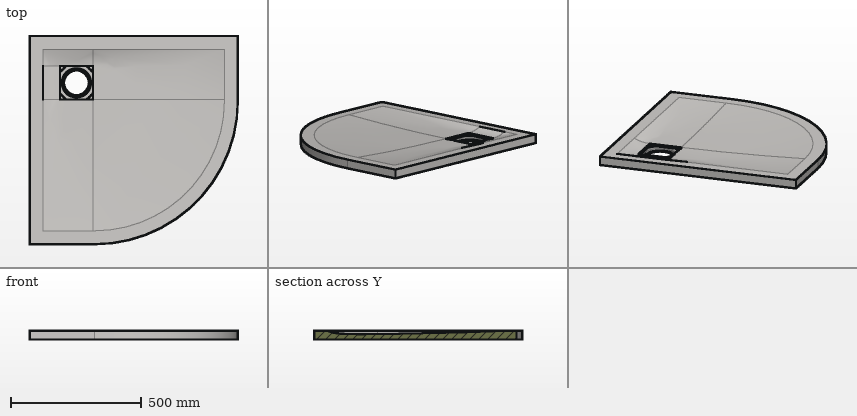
import cadquery as cq
import math

tray_side = 800.0
tray_height = 35.0
corner_radius = 550.0
rim_width = 52.0

drain_side = 128.0
drain_offset = 180.0
basin_depth = 14.0
recess_depth = 8.0
pad_leg = 24.0
pad_height = 3.0
outlet_diameter = 95.0
outlet_length = 5.0
seat_diameter = 111.0
seat_rounding = 3.0

half_side = tray_side / 2
arc_centre_x = half_side - corner_radius
arc_centre_y = -arc_centre_x

basin_half = half_side - rim_width
basin_radius = corner_radius - rim_width

drain_x = drain_offset - half_side
drain_y = -drain_x
drain_left = drain_x - drain_side / 2
drain_right = drain_x + drain_side / 2
drain_back = drain_y + drain_side / 2
drain_front = drain_y - drain_side / 2

basin_z = tray_height - basin_depth
recess_z = basin_z - recess_depth


def arc_middle(radius):
    """Plan point halfway round the front right corner."""
    reach = radius * math.sqrt(0.5)
    return arc_centre_x + reach, arc_centre_y - reach


def tray_block():
    """Square slab with its front right corner rounded to a quarter circle."""
    return (
        cq.Workplane("XY")
        .moveTo(-half_side, half_side)
        .lineTo(half_side, half_side)
        .lineTo(half_side, arc_centre_y)
        .threePointArc(arc_middle(corner_radius), (arc_centre_x, -half_side))
        .lineTo(-half_side, -half_side)
        .close()
        .extrude(tray_height)
    )


def rim_point(x, y):
    return cq.Vector(x, y, tray_height)


def drain_point(x, y):
    return cq.Vector(x, y, basin_z)


def slope(low, x, y):
    """Arc that leaves a low point level and climbs to the rim at x, y."""
    away = cq.Vector(x - low.x, y - low.y, 0)
    return cq.Edge.makeTangentArc(low, away, rim_point(x, y))


def path(*points):
    """Straight edges joining the points in turn."""
    return [cq.Edge.makeLine(start, end) for start, end in zip(points, points[1:])]


def patch(edges, guides=(), degree=3):
    """Smooth face spanning the edges and passing through the guide curves."""
    return cq.Face.makeNSidedSurface(edges, guides, degree=degree)


def flat(edges):
    return cq.Face.makeFromWires(cq.Wire.assembleEdges(edges))


def basin():
    """Space above the dished floor, closed by a flat cap level with the rim."""
    back_left = drain_point(drain_left, drain_back)
    back_right = drain_point(drain_right, drain_back)
    front_left = drain_point(drain_left, drain_front)
    front_right = drain_point(drain_right, drain_front)
    [back_side] = path(back_left, back_right)
    [right_side] = path(back_right, front_right)
    [front_side] = path(front_right, front_left)
    [left_side] = path(front_left, back_left)

    left_back_crease = slope(back_left, -basin_half, drain_back)
    left_front_crease = slope(front_left, -basin_half, drain_front)
    back_crease = slope(back_right, drain_right, basin_half)
    right_crease = slope(front_right, basin_half, drain_front)
    front_crease = slope(front_right, drain_right, -basin_half)

    rim_left_front = rim_point(-basin_half, drain_front)
    rim_left_back = rim_point(-basin_half, drain_back)
    rim_back = rim_point(drain_right, basin_half)
    rim_right = rim_point(basin_half, drain_front)
    rim_front = rim_point(drain_right, -basin_half)
    arc_start = rim_point(basin_half, arc_centre_y)
    arc_end = rim_point(arc_centre_x, -basin_half)
    left_rim = path(rim_left_front, rim_left_back)
    back_left_rim = path(rim_left_back, rim_point(-basin_half, basin_half), rim_back)
    back_right_rim = path(rim_back, rim_point(basin_half, basin_half), rim_right)
    rounded_rim = [
        *path(rim_right, arc_start),
        cq.Edge.makeThreePointArc(arc_start, rim_point(*arc_middle(basin_radius)), arc_end),
        *path(arc_end, rim_front),
    ]
    front_left_rim = path(rim_front, rim_point(-basin_half, -basin_half), rim_left_front)

    right_guide = slope(back_right, basin_half, drain_back)
    front_guide = slope(front_left, drain_left, -basin_half)

    shell = cq.Shell.makeShell(
        [
            patch([*left_rim, left_back_crease, left_side, left_front_crease]),
            patch([*back_left_rim, back_crease, back_side, left_back_crease]),
            patch([*back_right_rim, right_crease, right_side, back_crease], [right_guide]),
            patch([*front_left_rim, left_front_crease, front_side, front_crease], [front_guide]),
            patch([*rounded_rim, front_crease, right_crease], degree=2),
            flat([back_side, right_side, front_side, left_side]),
            flat([*left_rim, *back_left_rim, *back_right_rim, *rounded_rim, *front_left_rim]),
        ]
    )
    return cq.Workplane(cq.Solid.makeSolid(shell))


def drain_recess():
    """Square pocket that leaves a low triangular pad standing in each corner."""
    centre = (drain_x, drain_y, recess_z)
    pocket = cq.Workplane("XY", origin=centre).rect(drain_side, drain_side).extrude(recess_depth)
    corner = drain_side / 2
    for turn in range(4):
        pad = (
            cq.Workplane("XY")
            .moveTo(corner, corner)
            .lineTo(corner - pad_leg, corner)
            .lineTo(corner, corner - pad_leg)
            .close()
            .extrude(pad_height)
            .rotate((0, 0, 0), (0, 0, 1), 90 * turn)
            .translate(centre)
        )
        pocket = pocket.cut(pad)
    return pocket


def outlet():
    """Stepped bore: narrow outlet below, wider seal seat with a rounded mouth above."""
    outlet_radius = outlet_diameter / 2
    seat_radius = seat_diameter / 2
    floor_radius = seat_radius - seat_rounding
    mouth_radius = seat_radius + seat_rounding
    wall_bottom = outlet_length + seat_rounding
    wall_top = recess_z - seat_rounding
    bend = seat_rounding * math.sqrt(0.5)
    return (
        cq.Workplane("XZ")
        .moveTo(0, 0)
        .lineTo(outlet_radius, 0)
        .lineTo(outlet_radius, outlet_length)
        .lineTo(floor_radius, outlet_length)
        .threePointArc((floor_radius + bend, wall_bottom - bend), (seat_radius, wall_bottom))
        .lineTo(seat_radius, wall_top)
        .threePointArc((mouth_radius - bend, wall_top + bend), (mouth_radius, recess_z))
        .lineTo(0, recess_z)
        .close()
        .revolve(360, (0, 0, 0), (0, 1, 0))
        .translate((drain_x, drain_y, 0))
    )


result = tray_block().cut(basin()).cut(drain_recess()).cut(outlet())